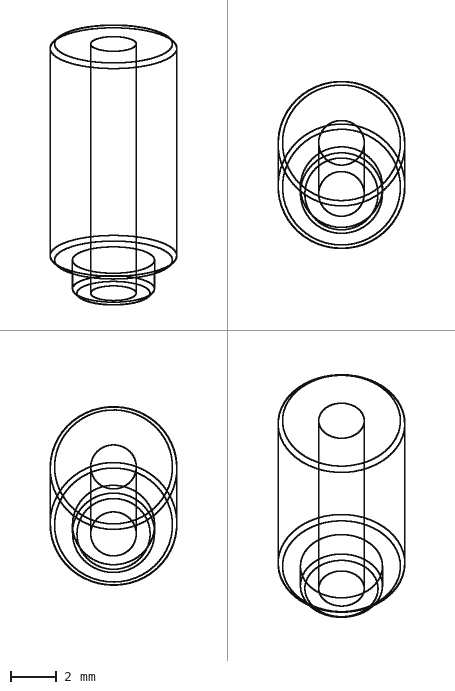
import cadquery as cq

total_height = 11.53
body_height = 10.0
body_diameter = 5.56
spigot_diameter = 3.6
bore_diameter = 2.0
edge_chamfer = 0.2

spigot_height = total_height - body_height

spigot = (
    cq.Workplane("XY")
    .circle(spigot_diameter / 2)
    .extrude(spigot_height)
    .faces("<Z")
    .chamfer(edge_chamfer)
)

body = (
    cq.Workplane("XY")
    .workplane(offset=spigot_height)
    .circle(body_diameter / 2)
    .extrude(body_height)
    .faces("<Z or >Z")
    .chamfer(edge_chamfer)
)

bore = cq.Workplane("XY").circle(bore_diameter / 2).extrude(total_height)

result = body.union(spigot).cut(bore)